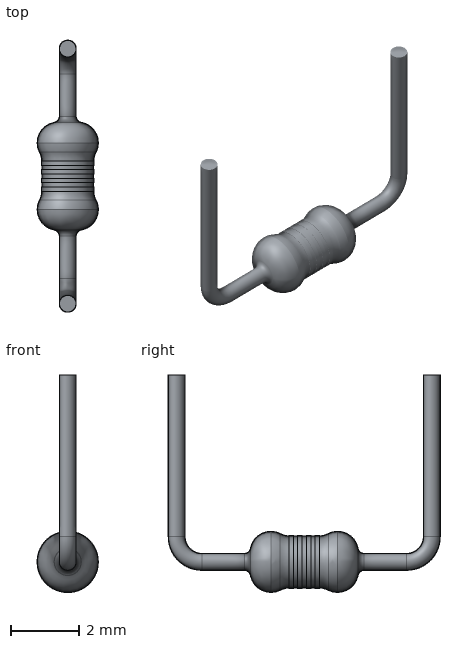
import cadquery as cq
import math

overall_length = 8.0
overall_height = 6.4
wire_diameter = 0.5
bulge_diameter = 1.8
waist_diameter = 1.53
band_diameter = 1.55
band_count = 4
band_width = 0.13
bulge_offset_y = 0.98
end_arc_radius = 0.62
waist_arc_radius = 0.57
neck_fillet_radius = 0.18
bend_radius = 0.74

wire_radius = wire_diameter / 2
bulge_radius = bulge_diameter / 2
waist_radius = waist_diameter / 2
leg_y = overall_length / 2 - wire_radius
leg_top_z = overall_height - bulge_radius


def point_on_arc(center, radius, angle):
    """Profile point (distance from axis, y) at an angle measured from the radial direction."""
    return (center[0] + radius * math.cos(angle), center[1] + radius * math.sin(angle))


def mirrored(point):
    """Matching profile point on the opposite end of the body."""
    return (point[0], -point[1])


def make_body():
    """Revolved resistor body without its bands."""
    crest_center = (bulge_radius - waist_arc_radius, bulge_offset_y)
    blend_center_r = waist_radius + waist_arc_radius
    blend_angle = math.acos((blend_center_r - crest_center[0]) / (2 * waist_arc_radius))
    waist_end_y = bulge_offset_y - 2 * waist_arc_radius * math.sin(blend_angle)
    blend_center = (blend_center_r, waist_end_y)
    blend_start = (waist_radius, waist_end_y)
    blend_mid = point_on_arc(blend_center, waist_arc_radius, math.pi - blend_angle / 2)
    blend_end = point_on_arc(crest_center, waist_arc_radius, -blend_angle)
    crest_mid = point_on_arc(crest_center, waist_arc_radius, -blend_angle / 2)
    bulge_peak = (bulge_radius, bulge_offset_y)

    end_center = (bulge_radius - end_arc_radius, bulge_offset_y)
    neck_center_r = wire_radius + neck_fillet_radius
    neck_angle = math.acos(
        (neck_center_r - end_center[0]) / (end_arc_radius + neck_fillet_radius)
    )
    end_mid = point_on_arc(end_center, end_arc_radius, neck_angle / 2)
    neck_start = point_on_arc(end_center, end_arc_radius, neck_angle)
    neck_center = point_on_arc(end_center, end_arc_radius + neck_fillet_radius, neck_angle)
    neck_mid = point_on_arc(neck_center, neck_fillet_radius, (neck_angle + 2 * math.pi) / 2)
    neck_end = (wire_radius, neck_center[1])

    profile = (
        cq.Workplane("XY")
        .moveTo(0, -neck_end[1])
        .lineTo(*mirrored(neck_end))
        .threePointArc(mirrored(neck_mid), mirrored(neck_start))
        .threePointArc(mirrored(end_mid), mirrored(bulge_peak))
        .threePointArc(mirrored(crest_mid), mirrored(blend_end))
        .threePointArc(mirrored(blend_mid), mirrored(blend_start))
        .lineTo(*blend_start)
        .threePointArc(blend_mid, blend_end)
        .threePointArc(crest_mid, bulge_peak)
        .threePointArc(end_mid, neck_start)
        .threePointArc(neck_mid, neck_end)
        .lineTo(0, neck_end[1])
        .close()
    )
    return profile.revolve(360, (0, 0, 0), (0, 1, 0))


def add_bands(body):
    """Body with evenly spaced raised bands around its waist."""
    pitch = 2 * band_width
    for index in range(band_count):
        band_start_y = (index - (band_count - 1) / 2) * pitch - band_width / 2
        band = (
            cq.Workplane("XZ", origin=(0, band_start_y, 0))
            .circle(band_diameter / 2)
            .extrude(-band_width)
        )
        body = body.union(band)
    return body


def make_wire():
    """Continuous lead wire through the body with both ends bent up."""
    bend_y = leg_y - bend_radius
    diagonal = bend_radius * math.sqrt(0.5)
    bend_mid = (bend_y + diagonal, bend_radius - diagonal)
    path = (
        cq.Workplane("YZ")
        .moveTo(-leg_y, leg_top_z)
        .lineTo(-leg_y, bend_radius)
        .threePointArc((-bend_mid[0], bend_mid[1]), (-bend_y, 0))
        .lineTo(bend_y, 0)
        .threePointArc(bend_mid, (leg_y, bend_radius))
        .lineTo(leg_y, leg_top_z)
    )
    section = cq.Workplane("XY", origin=(0, -leg_y, leg_top_z)).circle(wire_radius)
    return section.sweep(path)


result = add_bands(make_body()).union(make_wire())